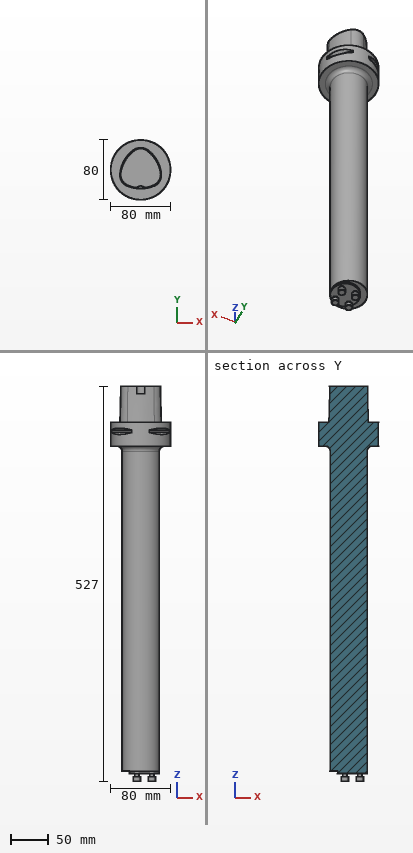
import cadquery as cq
import math

TOTAL_LENGTH = 527
SHANK_LENGTH = 48.0

LOBE_RADIUS = 29.5
FLAT_RADIUS = 25.5
CORNER_RADIUS = 16.5
LOBE_ANGLES = (90, 210, 330)
HALF_LOBE_PITCH = 60
SHANK_TAPER = math.degrees(math.atan(1 / 40))

NOTCH_RADIUS = 7.0
NOTCH_HEIGHT = 10.0
NOTCH_DEPTH = 2.5

FLANGE_DIAMETER = 80.0
FLANGE_HEIGHT = 32.0
GROOVE_Z = -12.0
GROOVE_DEPTH = 5.0
GROOVE_FLOOR_WIDTH = 3.0
GROOVE_SIDE_ANGLE = 30
GROOVE_COUNT = 4
FIRST_GROOVE_ANGLE = 45

BODY_DIAMETER = 50.0
BODY_FILLET = 6.5

PLATE_DIAMETER = 40.0
PLATE_THICKNESS = 3.0
PIN_SPACING = 20.0
PIN_NECK_DIAMETER = 6.0
PIN_NECK_LENGTH = 4.0
PIN_HEAD_DIAMETER = 10.0
PIN_HEAD_HEIGHT = 6.5
PIN_HEAD_CHAMFER = 0.5

BOTTOM_Z = SHANK_LENGTH - TOTAL_LENGTH
HEAD_TOP_Z = BOTTOM_Z + PIN_HEAD_HEIGHT
PLATE_BOTTOM_Z = HEAD_TOP_Z + PIN_NECK_LENGTH
BODY_END_Z = PLATE_BOTTOM_Z + PLATE_THICKNESS
PLATE_X = (BODY_DIAMETER - PLATE_DIAMETER) / 2


def polar(radius, angle):
    return (radius * math.cos(math.radians(angle)), radius * math.sin(math.radians(angle)))


def lobed_outline():
    """Three corner arcs joined tangentially by three flatter side arcs, one lobe toward +Y."""
    corner_offset = LOBE_RADIUS - CORNER_RADIUS
    side_radius = (
        FLAT_RADIUS**2 + corner_offset**2 - corner_offset * FLAT_RADIUS - CORNER_RADIUS**2
    ) / (2 * FLAT_RADIUS - 2 * CORNER_RADIUS - corner_offset)
    centre_offset = corner_offset * math.sin(math.radians(HALF_LOBE_PITCH))
    side_half_angle = math.degrees(math.asin(centre_offset / (side_radius - CORNER_RADIUS)))
    corner_half_angle = HALF_LOBE_PITCH - side_half_angle

    def corner_end(lobe_angle, side):
        centre_x, centre_y = polar(corner_offset, lobe_angle)
        dx, dy = polar(CORNER_RADIUS, lobe_angle + side * corner_half_angle)
        return (centre_x + dx, centre_y + dy)

    outline = cq.Workplane("XY").moveTo(*corner_end(LOBE_ANGLES[0], -1))
    for lobe_angle in LOBE_ANGLES:
        outline = outline.threePointArc(polar(LOBE_RADIUS, lobe_angle), corner_end(lobe_angle, 1))
        next_lobe_angle = lobe_angle + 2 * HALF_LOBE_PITCH
        outline = outline.threePointArc(
            polar(FLAT_RADIUS, lobe_angle + HALF_LOBE_PITCH),
            corner_end(next_lobe_angle, -1),
        )
    return outline.close()


def shank():
    return lobed_outline().extrude(SHANK_LENGTH, taper=SHANK_TAPER)


def notch():
    """Round vertical cutter with a flat floor, biting into the -Y side of the shank top."""
    top_flat_y = -FLAT_RADIUS + SHANK_LENGTH * math.tan(math.radians(SHANK_TAPER))
    centre_y = top_flat_y + NOTCH_DEPTH - NOTCH_RADIUS
    return (
        cq.Workplane("XY", origin=(0, centre_y, SHANK_LENGTH - NOTCH_HEIGHT))
        .circle(NOTCH_RADIUS)
        .extrude(NOTCH_HEIGHT)
    )


def flange_and_body():
    """Flange and body turned as one profile, with a fillet under the flange."""
    flange_radius = FLANGE_DIAMETER / 2
    body_radius = BODY_DIAMETER / 2
    fillet_mid = BODY_FILLET * (1 - math.sqrt(0.5))
    return (
        cq.Workplane("XZ")
        .lineTo(flange_radius, 0)
        .lineTo(flange_radius, -FLANGE_HEIGHT)
        .lineTo(body_radius + BODY_FILLET, -FLANGE_HEIGHT)
        .threePointArc(
            (body_radius + fillet_mid, -FLANGE_HEIGHT - fillet_mid),
            (body_radius, -FLANGE_HEIGHT - BODY_FILLET),
        )
        .lineTo(body_radius, BODY_END_Z)
        .lineTo(0, BODY_END_Z)
        .close()
        .revolve(360, (0, 0), (0, 1))
    )


def gripper_groove(angle):
    """Straight groove with sloping sides, cut across the flange rim at the given angle."""
    floor_x = FLANGE_DIAMETER / 2 - GROOVE_DEPTH
    reach = 2 * GROOVE_DEPTH
    floor_half = GROOVE_FLOOR_WIDTH / 2
    mouth_half = floor_half + reach * math.tan(math.radians(GROOVE_SIDE_ANGLE))
    return (
        cq.Workplane("XZ")
        .moveTo(floor_x, GROOVE_Z - floor_half)
        .lineTo(floor_x + reach, GROOVE_Z - mouth_half)
        .lineTo(floor_x + reach, GROOVE_Z + mouth_half)
        .lineTo(floor_x, GROOVE_Z + floor_half)
        .close()
        .extrude(FLANGE_DIAMETER / 2, both=True)
        .rotate((0, 0, 0), (0, 0, 1), angle)
    )


def end_plate():
    return (
        cq.Workplane("XY", origin=(PLATE_X, 0, PLATE_BOTTOM_Z))
        .circle(PLATE_DIAMETER / 2)
        .extrude(PLATE_THICKNESS)
    )


def headed_pins():
    """Square pattern of pins centred on the end plate."""
    head = (
        cq.Workplane("XY", origin=(PLATE_X, 0, BOTTOM_Z))
        .rect(PIN_SPACING, PIN_SPACING, forConstruction=True)
        .vertices()
        .circle(PIN_HEAD_DIAMETER / 2)
        .extrude(PIN_HEAD_HEIGHT)
        .faces("<Z")
        .edges()
        .chamfer(PIN_HEAD_CHAMFER)
    )
    neck = (
        cq.Workplane("XY", origin=(PLATE_X, 0, HEAD_TOP_Z))
        .rect(PIN_SPACING, PIN_SPACING, forConstruction=True)
        .vertices()
        .circle(PIN_NECK_DIAMETER / 2)
        .extrude(PIN_NECK_LENGTH)
    )
    return head.union(neck)


result = flange_and_body().union(shank().cut(notch()))
for index in range(GROOVE_COUNT):
    result = result.cut(gripper_groove(FIRST_GROOVE_ANGLE + index * 360 / GROOVE_COUNT))
result = result.union(end_plate()).union(headed_pins())